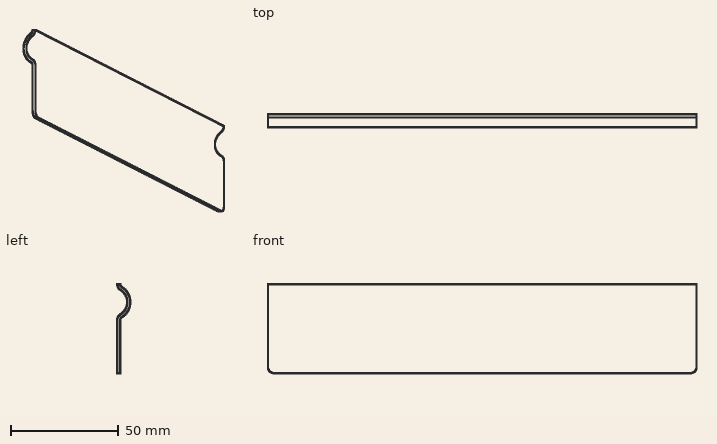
import cadquery as cq
import math

length = 200.0
depth = 6.2
height = 41.5
thickness = 1.5
corner_radius = 3.0
rib_half_height = 8.5
rib_radius = 8.2

crest_z = height - rib_half_height
rib_rise = depth - thickness

centre_distance = (rib_half_height**2 + rib_rise**2) / (2 * rib_rise)
bend_radius = centre_distance - rib_radius
bend_angle = math.asin(rib_half_height / centre_distance)

rib_centre_y = rib_radius - depth
bend_centre_y = -thickness - bend_radius


def rib_point(offset, angle):
    """Point on the rib, moved back from its front surface, at an angle from the crest."""
    radius = rib_radius - offset
    return (rib_centre_y - radius * math.cos(angle), crest_z + radius * math.sin(angle))


def bend_point(offset, angle, side):
    """Point on the upper (+1) or lower (-1) bend, at an angle from the plate plane."""
    radius = bend_radius + offset
    return (
        bend_centre_y + radius * math.cos(angle),
        crest_z + side * (rib_half_height - radius * math.sin(angle)),
    )


def trace_rib(outline, offset, side):
    """Draw bend, rib and opposite bend, starting from the given side."""
    return (
        outline
        .threePointArc(bend_point(offset, bend_angle / 2, side), rib_point(offset, side * bend_angle))
        .threePointArc(rib_point(offset, 0), rib_point(offset, -side * bend_angle))
        .threePointArc(bend_point(offset, bend_angle / 2, -side), bend_point(offset, 0, -side))
    )


profile = cq.Workplane("YZ").moveTo(-thickness, 0).lineTo(*bend_point(0, 0, -1))
profile = trace_rib(profile, 0, -1)
profile = profile.lineTo(*bend_point(thickness, 0, 1))
profile = trace_rib(profile, thickness, 1)
sheet = profile.lineTo(0, 0).close().extrude(length / 2, both=True)

lower_corners = cq.selectors.BoxSelector(
    (-length, -depth, -corner_radius), (length, depth, corner_radius)
)
result = sheet.edges("|Y").edges(lower_corners).fillet(corner_radius)